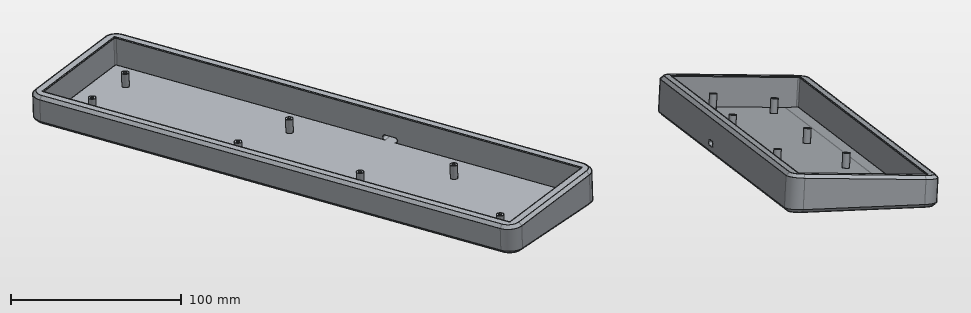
import cadquery as cq
import math

length = 339.0
depth = 91.0
back_height = 23.0
tilt = 3.0
corner_radius = 9.0
outer_chamfer = 2.0

wall = 7.0
rim_inner_chamfer = 0.5
cavity_corner_radius = 1.0
cavity_depth = 18.3
base_thickness = 0.88

post_diameter = 4.5
post_height = 8.8
screw_hole_diameter = 1.8
post_places = [
    (-143.0, 19.3),
    (-28.8, 19.3),
    (85.7, 19.3),
    (157.0, 14.2),
    (-143.0, -16.3),
    (-39.3, -19.5),
    (43.0, -15.5),
    (143.0, -19.3),
]

cable_x = 28.8
cable_width = 10.0
cable_height = 3.5
cable_corner_radius = 1.52

slope = math.radians(tilt)
rim_centre_height = back_height - (depth / 2 - outer_chamfer) * math.sin(slope)
rim_plane = cq.Plane(
    origin=(0, 0, rim_centre_height),
    xDir=(1, 0, 0),
    normal=(0, -math.sin(slope), math.cos(slope)),
)
floor_plane = cq.Workplane(rim_plane).workplane(offset=-cavity_depth).plane
along_walls = cq.selectors.ParallelDirSelector(rim_plane.zDir)
along_slope = cq.selectors.ParallelDirSelector(rim_plane.yDir)
on_rim = cq.selectors.DirectionMinMaxSelector(rim_plane.zDir)
reach = 2 * back_height


def make_shell():
    """Rounded block below the rim plane, cut level at Z = 0 and chamfered around rim and base."""
    block = cq.Workplane(rim_plane).rect(length, depth).extrude(-reach)
    block = block.edges(along_walls).fillet(corner_radius)
    below_base = cq.Workplane("XY").rect(2 * length, 2 * depth).extrude(-reach)
    block = block.cut(below_base)
    block = block.faces("<Z").edges().chamfer(outer_chamfer)
    return block.faces(on_rim).edges().chamfer(outer_chamfer)


def make_cavity():
    """Pocket square to the rim, flared at its mouth and stopped by the level base at the front."""
    pocket_length = length - 2 * wall
    pocket_depth = depth - 2 * wall
    pocket = cq.Workplane(rim_plane).rect(pocket_length, pocket_depth).extrude(-cavity_depth)
    pocket = pocket.edges(along_walls).fillet(cavity_corner_radius)
    flare = cq.Workplane(rim_plane).rect(
        pocket_length + 2 * rim_inner_chamfer,
        pocket_depth + 2 * rim_inner_chamfer,
    )
    flare = flare.extrude(-rim_inner_chamfer, taper=45)
    above_base = cq.Workplane("XY").workplane(offset=base_thickness)
    above_base = above_base.rect(length, 2 * depth).extrude(reach)
    return pocket.union(flare).intersect(above_base)


def make_cable_opening():
    """Round-cornered slot, flush with the sloping floor, through the back wall."""
    opening = cq.Workplane(floor_plane).center(cable_x, depth / 2)
    opening = opening.rect(cable_width, 3 * wall).extrude(cable_height)
    return opening.edges(along_slope).fillet(cable_corner_radius)


def make_post_cylinders(diameter):
    """One cylinder at each post place, rising square from the sloping floor."""
    places = cq.Workplane(floor_plane).pushPoints(post_places)
    return places.circle(diameter / 2).extrude(post_height)


posts = make_post_cylinders(post_diameter).cut(make_post_cylinders(screw_hole_diameter))
result = make_shell().cut(make_cavity()).cut(make_cable_opening()).union(posts)